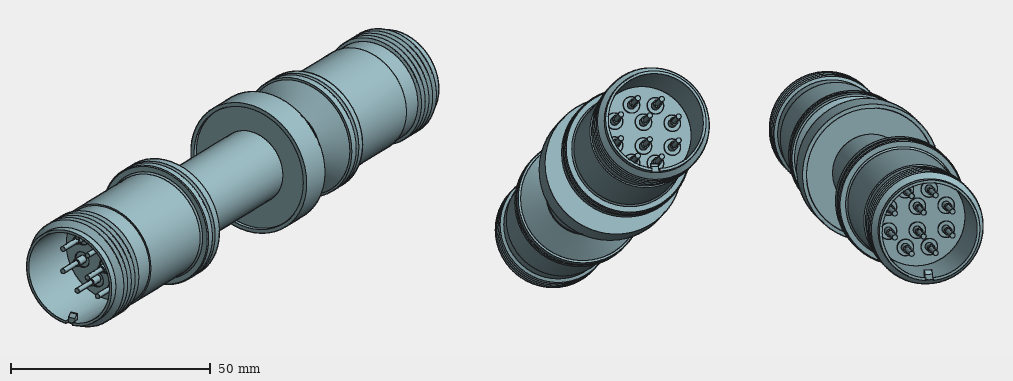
import cadquery as cq

TOTAL_LENGTH = 148.72
END_Y = TOTAL_LENGTH / 2

RIM_RADIUS = 12.8
RIM_LENGTH = 1.9
THREAD_CREST_RADIUS = 14.25
THREAD_ROOT_RADIUS = 13.3
THREAD_FIRST_CREST = 3.35
THREAD_PITCH = 1.7
THREAD_CRESTS = 5
NECK_START = 10.5
NECK_RADIUS = 13.4
BODY_START = 16.3
BODY_RADIUS = 13.8
BODY_FLARE = 0.45
FLANGE_START = 39.1
FLANGE_END = 44.3
FLANGE_RADIUS = 15.9
FLANGE_CHAMFER = 0.25
FLANGE_GROOVE_CENTER = 41.7
FLANGE_GROOVE_RADIUS = 0.6
CONE_LARGE_RADIUS = 15.3
CONE_SMALL_RADIUS = 9.7
CONE_END = 49.4
COLLAR_END = 49.9

CABLE_RADIUS = 9.6
RING_RADIUS = 34.85 / 2
RING_LENGTH = 8.3
RING_CENTER_Y = 11.4
RING_RECESS_RADIUS = 16.4
RING_RECESS_DEPTH = 1.0

BORE_RADIUS = 12.1
BORE_DEPTH = 17.0
PIN_RADIUS = 0.65
PIN_TIP_DEPTH = 8.3
PIN_COLLAR_RADIUS = 1.0
PIN_COLLAR_DEPTH = 14.5
PIN_WELL_RADIUS = 2.1
PIN_WELL_DEPTH = 0.5
PIN_INNER_OFFSET = 3.05
PIN_OUTER_OFFSET = 7.35

KEY_SLOT_WIDTH = 2.0
KEY_SLOT_LENGTH = 1.2
KEY_RIB_WIDTH = 1.9
KEY_RIB_TOP_RADIUS = 10.5
KEY_RIB_CHAMFER = 0.9
KEY_RIB_LENGTH = 1.3

OVERLAP = 0.2


def rod(radius, y_start, y_end, x=0, z=0):
    """Solid cylinder along Y."""
    plane = cq.Plane(origin=(x, y_start, z), xDir=(1, 0, 0), normal=(0, 1, 0))
    return cq.Workplane(plane).circle(radius).extrude(y_end - y_start)


def thread_points():
    """Zigzag of (radius, station) points through the thread crests and roots."""
    points = []
    for index in range(THREAD_CRESTS):
        crest = THREAD_FIRST_CREST + index * THREAD_PITCH
        if index > 0:
            points.append((THREAD_ROOT_RADIUS, crest - THREAD_PITCH / 2))
        points.append((THREAD_CREST_RADIUS, crest))
    return points


def shell_body():
    """Turned outside of one connector, solid, with its open end at Y = 0."""
    outline = [
        (0, 0),
        (RIM_RADIUS, 0),
        (RIM_RADIUS, RIM_LENGTH),
        *thread_points(),
        (NECK_RADIUS, NECK_START),
        (NECK_RADIUS, BODY_START),
        (BODY_RADIUS, BODY_START),
        (BODY_RADIUS, FLANGE_START - BODY_FLARE),
        (BODY_RADIUS + BODY_FLARE, FLANGE_START),
        (FLANGE_RADIUS - FLANGE_CHAMFER, FLANGE_START),
        (FLANGE_RADIUS, FLANGE_START + FLANGE_CHAMFER),
        (FLANGE_RADIUS, FLANGE_END),
        (CONE_LARGE_RADIUS, FLANGE_END),
        (CONE_SMALL_RADIUS, CONE_END),
        (CONE_SMALL_RADIUS, COLLAR_END),
        (0, COLLAR_END),
    ]
    body = cq.Workplane("XY").polyline(outline).close().revolve(360, (0, 0, 0), (0, 1, 0))
    groove_center = cq.Workplane("XY").center(FLANGE_RADIUS, FLANGE_GROOVE_CENTER)
    groove = groove_center.circle(FLANGE_GROOVE_RADIUS).revolve(
        360, (-FLANGE_RADIUS, 0, 0), (-FLANGE_RADIUS, 1, 0)
    )
    return body.cut(groove)


def pin_centers():
    """(x, z) of the ten contacts: two rows of three plus a pair above and below."""
    inner = PIN_INNER_OFFSET
    outer = PIN_OUTER_OFFSET
    rows = [(x, z) for z in (-inner, inner) for x in (-outer, 0, outer)]
    pairs = [(x, z) for z in (-outer, outer) for x in (-inner, inner)]
    return rows + pairs


def add_pins(shell):
    """Stand each stepped contact pin in a round well in the socket floor."""
    well_floor = BORE_DEPTH + PIN_WELL_DEPTH
    for x, z in pin_centers():
        well = rod(PIN_WELL_RADIUS, BORE_DEPTH, well_floor, x, z)
        pin = rod(PIN_RADIUS, PIN_TIP_DEPTH, well_floor + OVERLAP, x, z)
        collar = rod(PIN_COLLAR_RADIUS, PIN_COLLAR_DEPTH, well_floor + OVERLAP, x, z)
        shell = shell.cut(well).union(collar).union(pin)
    return shell


def key_slot():
    """Block that opens the full wall of the rim at the bottom."""
    block = cq.Workplane("XY").box(
        KEY_SLOT_WIDTH, KEY_SLOT_LENGTH, RIM_RADIUS - KEY_RIB_TOP_RADIUS, centered=(True, False, False)
    )
    return block.translate((0, 0, -RIM_RADIUS))


def key_rib():
    """Short rib at the bottom of the bore, its leading top edge sloped."""
    rib_bottom = -(BORE_RADIUS + OVERLAP)
    rib_top = -KEY_RIB_TOP_RADIUS
    side = [
        (KEY_SLOT_LENGTH, rib_bottom),
        (KEY_SLOT_LENGTH, rib_top - KEY_RIB_CHAMFER),
        (KEY_SLOT_LENGTH + KEY_RIB_CHAMFER, rib_top),
        (KEY_SLOT_LENGTH + KEY_RIB_LENGTH, rib_top),
        (KEY_SLOT_LENGTH + KEY_RIB_LENGTH, rib_bottom),
    ]
    return cq.Workplane("YZ").polyline(side).close().extrude(KEY_RIB_WIDTH / 2, both=True)


def connector():
    """Complete connector shell with its open end at -Y."""
    shell = shell_body().cut(rod(BORE_RADIUS, 0, BORE_DEPTH))
    shell = add_pins(shell).union(key_rib())
    return shell.cut(key_slot()).translate((0, -END_Y, 0))


def cable_ring():
    """Ring on the cable, its -Y face recessed inside a thin lip."""
    front_y = RING_CENTER_Y - RING_LENGTH / 2
    ring = rod(RING_RADIUS, front_y, front_y + RING_LENGTH)
    return ring.cut(rod(RING_RECESS_RADIUS, front_y, front_y + RING_RECESS_DEPTH))


def cable():
    """Plain cable joining the two connectors."""
    half_length = END_Y - COLLAR_END + OVERLAP
    return rod(CABLE_RADIUS, -half_length, half_length)


front_connector = connector()
rear_connector = front_connector.mirror("XZ")
result = cable().union(cable_ring()).union(front_connector).union(rear_connector)